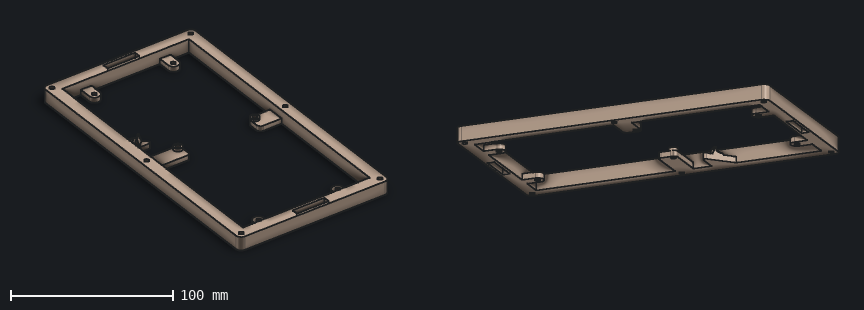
import cadquery as cq
import math

length = 209.5
width = 114.0
height = 10.0
wall = 9.0
corner_radius = 4.0
inner_x = length / 2 - wall
inner_y = width / 2 - wall

hole_diameter = 3.1
hole_inset = 4.5
hole_x = length / 2 - hole_inset
hole_y = width / 2 - hole_inset
slot_width = 4.6
slot_length = 24.0

tab_thickness = 4.0
overlap = 2.0

side_tab_width = 8.2
side_tab_tip_x = 83.0
side_tab_y = 30.0
side_tab_hole_x = 87.2

center_tab_left = -9.8
center_tab_right = 2.5
boss_x = -6.7
boss_diameter = 6.0
back_tab_tip_y = 31.0
back_tab_radius = 3.1
back_boss_y = 34.1
back_boss_rise = 1.5
front_tab_tip_y = -21.2
front_tab_radius = 2.0
front_boss_y = -24.0
front_boss_rise = 2.0

triangle_left = -38.5
triangle_right = -22.0
triangle_tip_radius = 1.5
clip_offset = 8.2
clip_width = 6.3
clip_length = 7.5
clip_lip_run = 1.3
clip_lip_height = 5.2
clip_ridge_run = 2.7
clip_ridge_height = 5.7
clip_seat_end = 4.8
clip_seat_height = 6.5
clip_hollow_sag = 0.52
clip_peak_start = 5.2
clip_peak_end = 5.9
clip_peak_height = 8.8
clip_back_sag = 0.6


def box(x0, x1, y0, y1, tall):
    """Block between two corners, standing on the underside plane."""
    return cq.Workplane("XY").box(x1 - x0, y1 - y0, tall, centered=False).translate((x0, y0, 0))


def make_frame():
    frame = cq.Workplane("XY").box(length, width, height, centered=(True, True, False))
    frame = frame.edges("|Z").fillet(corner_radius)
    frame = frame.cut(box(-inner_x, inner_x, -inner_y, inner_y, height))
    hole_points = [(x, y) for x in (-hole_x, 0, hole_x) for y in (-hole_y, hole_y)]
    holes = cq.Workplane("XY").pushPoints(hole_points).circle(hole_diameter / 2).extrude(height)
    slots = cq.Workplane("XY").pushPoints([(-hole_x, 0), (hole_x, 0)])
    slots = slots.rect(slot_width, slot_length).extrude(height)
    return frame.cut(holes).cut(slots)


def make_side_tab(side, y):
    """Round-ended tab; side is -1 for the left wall and 1 for the right."""
    end_radius = side_tab_width / 2
    arc_x = side_tab_tip_x + end_radius
    tab = (
        cq.Workplane("XY")
        .moveTo(side * (inner_x + overlap), y - end_radius)
        .lineTo(side * arc_x, y - end_radius)
        .threePointArc((side * side_tab_tip_x, y), (side * arc_x, y + end_radius))
        .lineTo(side * (inner_x + overlap), y + end_radius)
        .close()
        .extrude(tab_thickness)
    )
    hole = cq.Workplane("XY").center(side * side_tab_hole_x, y).circle(hole_diameter / 2)
    return tab.cut(hole.extrude(tab_thickness))


def make_center_tab(wall_y, tip_y, tip_radius, boss_y, boss_rise):
    """Tab from the wall at wall_y, with a drilled boss near its tip."""
    y_low, y_high = sorted((wall_y, tip_y))
    tip_face = ">Y" if tip_y > wall_y else "<Y"
    tab = box(center_tab_left, center_tab_right, y_low, y_high, tab_thickness)
    tab = tab.faces(tip_face).edges("|Z").fillet(tip_radius)
    boss_height = tab_thickness + boss_rise
    center = cq.Workplane("XY").center(boss_x, boss_y)
    boss = center.circle(boss_diameter / 2).extrude(boss_height)
    hole = center.circle(hole_diameter / 2).extrude(boss_height)
    return tab.union(boss).cut(hole)


def make_triangle_tab():
    root_y = -inner_y - overlap
    tip_y = -inner_y + triangle_right - triangle_left
    tab = (
        cq.Workplane("XY")
        .moveTo(triangle_left - overlap, root_y)
        .lineTo(triangle_right, root_y)
        .lineTo(triangle_right, tip_y)
        .close()
        .extrude(tab_thickness)
    )
    return tab.edges("|Z and >Y").fillet(triangle_tip_radius)


def sagging_middle(start, end, sag):
    """Point halfway between start and end, lowered by sag."""
    return ((start[0] + end[0]) / 2, (start[1] + end[1]) / 2 - sag)


def make_clip():
    """Lip, two hollows split by a ridge and a tall hook, profiled along the sloping edge."""
    lip = (clip_lip_run, clip_lip_height)
    ridge = (clip_ridge_run, clip_ridge_height)
    seat = (clip_seat_end, clip_seat_height)
    peak = (clip_peak_end, clip_peak_height)
    back_foot = (clip_length, tab_thickness)
    diagonal = math.sqrt(0.5)
    start = (triangle_left + clip_offset * diagonal, -inner_y + clip_offset * diagonal, 0)
    plane = cq.Plane(origin=start, xDir=(1, 1, 0), normal=(1, -1, 0))
    return (
        cq.Workplane(plane)
        .lineTo(0, tab_thickness)
        .lineTo(*lip)
        .threePointArc(sagging_middle(lip, ridge, clip_hollow_sag), ridge)
        .threePointArc(sagging_middle(ridge, seat, clip_hollow_sag), seat)
        .lineTo(clip_peak_start, clip_peak_height)
        .lineTo(*peak)
        .threePointArc(sagging_middle(peak, back_foot, clip_back_sag), back_foot)
        .lineTo(clip_length, 0)
        .close()
        .extrude(clip_width)
    )


result = make_frame()
for side in (-1, 1):
    for tab_y in (-side_tab_y, side_tab_y):
        result = result.union(make_side_tab(side, tab_y))
back_tab = make_center_tab(
    inner_y + overlap, back_tab_tip_y, back_tab_radius, back_boss_y, back_boss_rise
)
front_tab = make_center_tab(
    -inner_y - overlap, front_tab_tip_y, front_tab_radius, front_boss_y, front_boss_rise
)
result = result.union(back_tab).union(front_tab).union(make_triangle_tab()).union(make_clip())